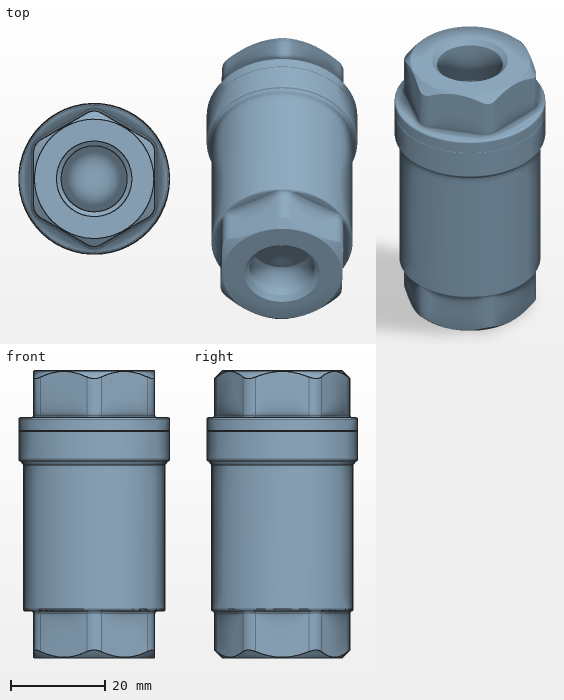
import cadquery as cq
import math

TOTAL_HEIGHT = 61.0
HEX_HEIGHT = 10.0

HEX_ACROSS_FLATS = 25.67
HEX_CORNER_RADIUS = 3.0
HEX_FACE_DIAMETER = 25.3
HEX_ROOT_FILLET = 0.5

PORT_DIAMETER = 14.0
PORT_DEPTH = 10.0
PORT_CHAMFER = 1.0

BODY_DIAMETER = 30.0
BODY_EDGE_FILLET = 0.4
COLLAR_DIAMETER = 32.0
COLLAR_HEIGHT = 9.2
COLLAR_EDGE_FILLET = 0.4
COLLAR_CONE_HEIGHT = 0.8

JOINT_HEIGHT = 48.2
JOINT_WIDTH = 0.2
JOINT_DEPTH = 0.1

BODY_BOTTOM = HEX_HEIGHT
COLLAR_TOP = TOTAL_HEIGHT - HEX_HEIGHT
COLLAR_BOTTOM = COLLAR_TOP - COLLAR_HEIGHT
HEX_ACROSS_CORNERS = HEX_ACROSS_FLATS / math.cos(math.pi / 6)

SELECTION_TOLERANCE = 0.01


def make_barrel():
    """Body and collar: a turned profile with rounded outer edges."""
    body_radius = BODY_DIAMETER / 2
    collar_radius = COLLAR_DIAMETER / 2
    collar_round = COLLAR_EDGE_FILLET
    cone_top_radius = collar_radius - collar_round
    profile = (
        cq.Workplane("XZ")
        .moveTo(0, BODY_BOTTOM)
        .lineTo(body_radius - BODY_EDGE_FILLET, BODY_BOTTOM)
        .radiusArc((body_radius, BODY_BOTTOM + BODY_EDGE_FILLET), -BODY_EDGE_FILLET)
        .lineTo(body_radius, COLLAR_BOTTOM - COLLAR_CONE_HEIGHT)
        .lineTo(cone_top_radius, COLLAR_BOTTOM)
        .radiusArc((collar_radius, COLLAR_BOTTOM + collar_round), -collar_round)
        .lineTo(collar_radius, COLLAR_TOP - collar_round)
        .radiusArc((collar_radius - collar_round, COLLAR_TOP), -collar_round)
        .lineTo(0, COLLAR_TOP)
        .close()
    )
    return profile.revolve(360, (0, 0, 0), (0, 1, 0))


def make_joint_groove():
    """Thin ring that cuts the joint line into the collar."""
    outer_radius = COLLAR_DIAMETER / 2
    return (
        cq.Workplane("XY", origin=(0, 0, JOINT_HEIGHT - JOINT_WIDTH / 2))
        .circle(outer_radius + JOINT_DEPTH)
        .circle(outer_radius - JOINT_DEPTH)
        .extrude(JOINT_WIDTH)
    )


def make_hex_blank(bottom, height):
    """Hexagonal prism with rounded corners and flats facing +X and -X."""
    return (
        cq.Workplane("XY", origin=(0, 0, bottom))
        .transformed(rotate=(0, 0, 90))
        .polygon(6, HEX_ACROSS_CORNERS)
        .extrude(height)
        .edges("|Z")
        .fillet(HEX_CORNER_RADIUS)
    )


def make_corner_cone():
    """Round envelope that bevels the top corners of the hexagon at 45 degrees."""
    face_radius = HEX_FACE_DIAMETER / 2
    base_radius = face_radius + HEX_HEIGHT
    return (
        cq.Workplane("XZ")
        .moveTo(0, COLLAR_TOP)
        .lineTo(base_radius, COLLAR_TOP)
        .lineTo(face_radius, TOTAL_HEIGHT)
        .lineTo(0, TOTAL_HEIGHT)
        .close()
        .revolve(360, (0, 0, 0), (0, 1, 0))
    )


def make_hex_end():
    """Upper hexagon with bevelled corners."""
    return make_hex_blank(COLLAR_TOP, HEX_HEIGHT).intersect(make_corner_cone())


def make_port():
    """Upper blind bore with a 45 degree countersunk mouth."""
    radius = PORT_DIAMETER / 2
    floor = TOTAL_HEIGHT - PORT_DEPTH
    return (
        cq.Workplane("XZ")
        .moveTo(0, floor)
        .lineTo(radius, floor)
        .lineTo(radius, TOTAL_HEIGHT - PORT_CHAMFER)
        .lineTo(radius + PORT_CHAMFER, TOTAL_HEIGHT)
        .lineTo(0, TOTAL_HEIGHT)
        .close()
        .revolve(360, (0, 0, 0), (0, 1, 0))
    )


def mirrored(shape):
    """Same shape at the opposite end of the part."""
    return shape.mirror("XY", (0, 0, TOTAL_HEIGHT / 2))


def fillet_hex_root(part, level):
    """Concave fillet where a hexagon meets the round barrel."""
    reach = HEX_ACROSS_CORNERS / 2
    root = cq.selectors.BoxSelector(
        (-reach, -reach, level - SELECTION_TOLERANCE),
        (reach, reach, level + SELECTION_TOLERANCE),
        boundingbox=True,
    )
    return part.edges(root).fillet(HEX_ROOT_FILLET)


hex_end = make_hex_end()
port = make_port()
result = make_barrel().union(hex_end).union(mirrored(hex_end))
result = fillet_hex_root(result, COLLAR_TOP)
result = fillet_hex_root(result, BODY_BOTTOM)
result = result.cut(make_joint_groove()).cut(port).cut(mirrored(port))